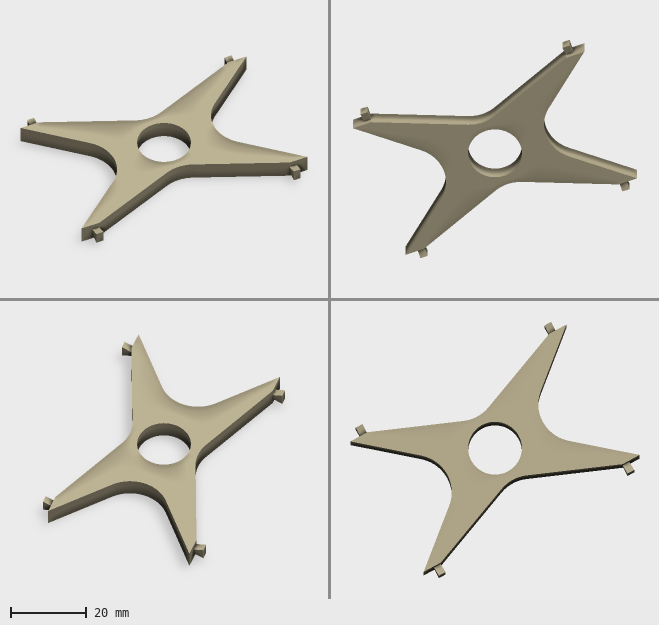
import cadquery as cq
import math

length = 65.0
overall_width = 45.4
arm_span = 40.0
thickness = 5.0
bore_diameter = 14.2

waist_radius = 10.0
end_waist_distance = 14.4
side_waist_distance = 9.7

tip_height = 5.15
tab_length = (overall_width - arm_span) / 2
tab_width = 2.0
tab_root_height = 1.55
tab_end_height = 3.3

half_length = length / 2
half_span = arm_span / 2
tip_inner_y = half_length - tip_height


def waist_tangent(across, along, apex):
    """Return the tangent point, for a line from (across, along), on a waist arc.

    The arc is centred on the 'along' axis, and 'apex' is its nearest point to the part centre.
    """
    center = apex + waist_radius
    offset = along - center
    distance = math.hypot(across, offset)
    angle = math.atan2(offset, across) - math.acos(waist_radius / distance)
    return waist_radius * math.cos(angle), center + waist_radius * math.sin(angle)


def make_plate():
    end_x, end_y = waist_tangent(half_span, half_length, end_waist_distance)
    side_y, side_x = waist_tangent(tip_inner_y, half_span, side_waist_distance)
    return (
        cq.Workplane("XY")
        .workplane(offset=-thickness / 2)
        .moveTo(half_span, half_length)
        .lineTo(end_x, end_y)
        .threePointArc((0, end_waist_distance), (-end_x, end_y))
        .lineTo(-half_span, half_length)
        .lineTo(-half_span, tip_inner_y)
        .lineTo(-side_x, side_y)
        .threePointArc((-side_waist_distance, 0), (-side_x, -side_y))
        .lineTo(-half_span, -tip_inner_y)
        .lineTo(-half_span, -half_length)
        .lineTo(-end_x, -end_y)
        .threePointArc((0, -end_waist_distance), (end_x, -end_y))
        .lineTo(half_span, -half_length)
        .lineTo(half_span, -tip_inner_y)
        .lineTo(side_x, -side_y)
        .threePointArc((side_waist_distance, 0), (side_x, side_y))
        .lineTo(half_span, tip_inner_y)
        .close()
        .extrude(thickness)
    )


def make_tab(x_side, y_side):
    """Make a tab that flares outward from its root on one arm tip."""
    root_x = x_side * half_span
    end_x = x_side * (half_span + tab_length)
    center_y = y_side * (tip_inner_y + tab_width / 2)
    return (
        cq.Workplane("XZ", origin=(0, center_y, 0))
        .polyline([
            (root_x, -tab_root_height / 2),
            (end_x, -tab_end_height / 2),
            (end_x, tab_end_height / 2),
            (root_x, tab_root_height / 2),
        ])
        .close()
        .extrude(tab_width / 2, both=True)
    )


bore = cq.Workplane("XY").circle(bore_diameter / 2).extrude(thickness, both=True)
result = make_plate().cut(bore)
for x_side in (-1, 1):
    for y_side in (-1, 1):
        result = result.union(make_tab(x_side, y_side))